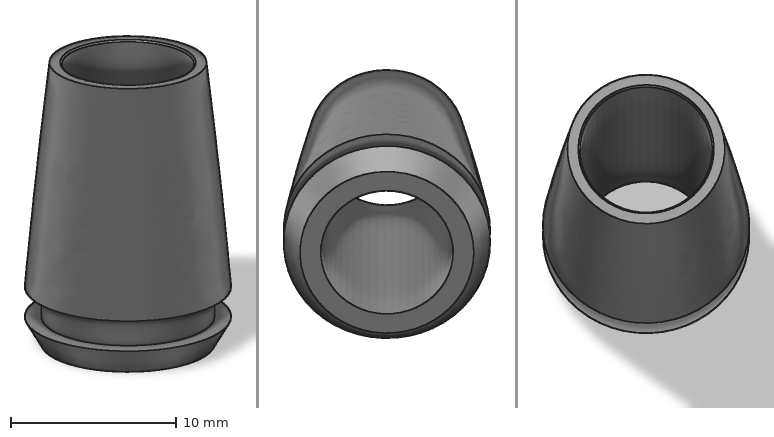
import cadquery as cq

total_height = 18.0
rim_height = 1.7
groove_top = 3.62

outer_diameter = 12.5
groove_diameter = 10.5
top_diameter = 9.5
bore_diameter = 8.0
mouth_diameter = 8.2

sleeve_bow = 0.05


def revolve_about_z(profile):
    """Turn a closed half profile, drawn in the YZ plane, about the Z axis."""
    return profile.revolve(360, (0, 0, 0), (0, 1, 0))


def make_body():
    """Flared bottom rim, groove and tapered sleeve."""
    outer_radius = outer_diameter / 2
    groove_radius = groove_diameter / 2
    top_radius = top_diameter / 2
    middle_radius = (outer_radius + top_radius) / 2 + sleeve_bow
    middle_height = (groove_top + total_height) / 2
    profile = (
        cq.Workplane("YZ")
        .lineTo(groove_radius, 0)
        .lineTo(outer_radius, rim_height)
        .lineTo(groove_radius, rim_height)
        .lineTo(groove_radius, groove_top)
        .lineTo(outer_radius, groove_top)
        .threePointArc((middle_radius, middle_height), (top_radius, total_height))
        .lineTo(0, total_height)
        .close()
    )
    return revolve_about_z(profile)


def make_bore():
    """Through bore with a small 45 degree chamfer at its top mouth."""
    bore_radius = bore_diameter / 2
    mouth_radius = mouth_diameter / 2
    chamfer_start = total_height - (mouth_radius - bore_radius)
    profile = (
        cq.Workplane("YZ")
        .lineTo(bore_radius, 0)
        .lineTo(bore_radius, chamfer_start)
        .lineTo(mouth_radius, total_height)
        .lineTo(0, total_height)
        .close()
    )
    return revolve_about_z(profile)


result = make_body().cut(make_bore())